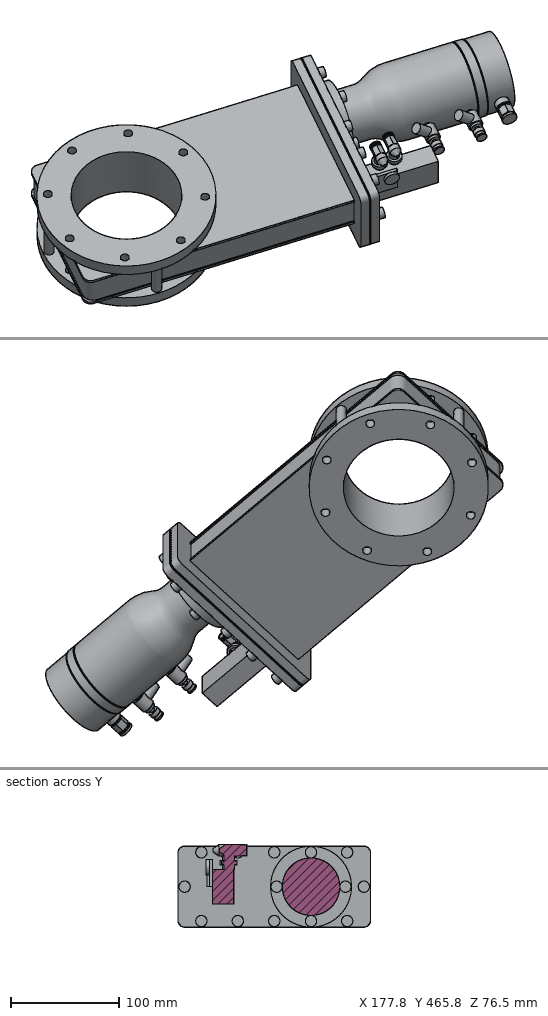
import cadquery as cq
import math


flange_dia = 165.1
flange_top_z = 30.2
flange_thickness = 12.7
bore_dia = 102.0
bolt_circle_dia = 145.0
bolt_hole_dia = 8.0
bolt_hole_count = 8
tie_rod_dia = 9.5
tie_rod_radius = 76.6
tie_rod_angles = (180, 270, 0)

housing_width = 144.4
housing_end_y = -68.4
housing_height = 2 * (flange_top_z - flange_thickness)
sheet_thickness = 2.8
sheet_overhang = 1.2
sheet_corner_radius = 8.0
core_corner_radius = 10.0

bonnet_width = 177.8
bonnet_height = 75.0
bonnet_start_y = 197.3
bonnet_end_y = 215.8
gasket_thickness = 1.2
gasket_inset = 0.8
bonnet_corner_radius = 6.35
bonnet_plate_thickness = (bonnet_end_y - bonnet_start_y - gasket_thickness) / 2

screw_head_dia = 10.4
screw_head_height = 6.1
screw_row_z = 31.7
screw_row_x = (-67.2, 0, 33.6, 67.2)
end_screw_x = 82.6

actuator_x = -33.9
actuator_end_y = 383.24
cap_start_y = 357.2
cap_radius = 36.6
barrel_radius = 37.2
barrel_start_y = 279.0
groove_ys = (cap_start_y - 0.5, 347.0)
groove_width = 1.0
groove_depth = 0.8
neck_radius = 26.5
neck_end_y = 245.6
shoulder_y = 256.9
foot_radius = 37.3
foot_end_y = 224.0
foot_screw_radius = 31.7
foot_screw_height = 5.3

air_fitting_ys = (338.2, 296.2)
elbow_centre_x = 12.5
elbow_body_radius = 6.8
elbow_inlet_radius = 4.5
elbow_leg_radius = 5.2
elbow_leg_reach = 20.5
elbow_leg_tilt = 45
nozzle_steps = ((22.0, 5.5), (25.6, 2.2), (30.0, 5.2), (33.0, 4.6), (34.5, 5.0))

cable_connector_y = 370.1
cable_radius = 7.2
cable_waist_radius = 5.8
cable_collar_end_x = 8.2
cable_nut_start_x = 10.0
cable_nut_end_x = 19.5
cable_ring_start_x = 21.0
cable_end_x = 23.3

block_start_x = 37.2
block_end_x = 57.0
block_half_height = 16.0
block_end_y = 286.4
port_axis_z = 33.5
port_radius = 5.45
port_cap_length = 4.0
port_cap_rib_count = 2
port_cap_groove_radius = 5.0
port_nut_length = 10.5
port_sleeve_length = 5.5
port_nose_length = 5.5
port_nose_radius = 1.5
port_collar_radius = 7.3
port_collar_z = 20.0
port_collar_height = 4.0
port_post_radius = 5.0
port_places = ((25.2, 248.7, 41.5), (30.9, 233.8, 42.5))

bracket_end_x = 59.8
bracket_end_y = 245.0
bracket_top_z = 25.0
bracket_foot_x = 62.0
bracket_foot_height = 1.5
knob_end_x = 62.7
knob_radius = 7.2
knob_stem_radius = 3.0
knob_y = 238.6
knob_z = 18.0


def box(x0, x1, y0, y1, z0, z1):
    return cq.Workplane("XY").box(x1 - x0, y1 - y0, z1 - z0, centered=False).translate((x0, y0, z0))


def rod(start, direction, length, radius):
    return cq.Workplane(cq.Solid.makeCylinder(radius, length, cq.Vector(*start), cq.Vector(*direction)))


def stepped_rod(start_x, y, z, steps):
    """Coaxial cylinders along X; each step is (end_x, radius)."""
    body = None
    for end_x, radius in steps:
        piece = rod((start_x, y, z), (1, 0, 0), end_x - start_x, radius)
        body = piece if body is None else body.union(piece)
        start_x = end_x
    return body


def hex_rod(start_x, y, z, length, corner_radius):
    """Hexagonal bar along X with one corner pointing to +Z."""
    profile = cq.Workplane("YZ").polygon(6, 2 * corner_radius).extrude(length)
    return profile.rotate((0, 0, 0), (1, 0, 0), 90).translate((start_x, y, z))


def polar(radius, angle):
    return radius * math.cos(math.radians(angle)), radius * math.sin(math.radians(angle))


def make_housing():
    half = housing_width / 2
    half_height = housing_height / 2
    core_half = half - sheet_overhang
    core_half_height = half_height - sheet_thickness
    core_end_y = housing_end_y + sheet_overhang
    core = box(-core_half, core_half, core_end_y, bonnet_start_y, -core_half_height, core_half_height)
    housing = core.edges("|Z and <Y").fillet(core_corner_radius)
    for z in (-half_height, core_half_height):
        sheet = box(-half, half, housing_end_y, bonnet_start_y, z, z + sheet_thickness)
        housing = housing.union(sheet.edges("|Z and <Y").fillet(sheet_corner_radius))
    return housing


def make_flanges():
    flanges = cq.Workplane("XY")
    for z in (-flange_top_z, flange_top_z - flange_thickness):
        flanges = flanges.union(rod((0, 0, z), (0, 0, 1), flange_thickness, flange_dia / 2))
    for angle in tie_rod_angles:
        x, y = polar(tie_rod_radius, angle)
        flanges = flanges.union(rod((x, y, -flange_top_z), (0, 0, 1), 2 * flange_top_z, tie_rod_dia / 2))
    return flanges


def make_flange_holes():
    pitch = 360 / bolt_hole_count
    holes = cq.Workplane("XY")
    for z in (-flange_top_z, flange_top_z - flange_thickness):
        for i in range(bolt_hole_count):
            x, y = polar(bolt_circle_dia / 2, (i + 0.5) * pitch)
            holes = holes.union(rod((x, y, z), (0, 0, 1), flange_thickness, bolt_hole_dia / 2))
    return holes


def bonnet_layer(y0, thickness, inset):
    half_width = bonnet_width / 2 - inset
    half_height = bonnet_height / 2 - inset
    layer = box(-half_width, half_width, y0, y0 + thickness, -half_height, half_height)
    return layer.edges("|Y").fillet(bonnet_corner_radius - inset)


def make_bonnet():
    gasket_y = bonnet_start_y + bonnet_plate_thickness
    bonnet = bonnet_layer(bonnet_start_y, bonnet_plate_thickness, 0)
    bonnet = bonnet.union(bonnet_layer(gasket_y, gasket_thickness, gasket_inset))
    bonnet = bonnet.union(bonnet_layer(gasket_y + gasket_thickness, bonnet_plate_thickness, 0))
    places = [(x, z) for x in screw_row_x for z in (-screw_row_z, screw_row_z)]
    places += [(-end_screw_x, 0), (end_screw_x, 0)]
    for x, z in places:
        bonnet = bonnet.union(rod((x, bonnet_end_y, z), (0, 1, 0), screw_head_height, screw_head_dia / 2))
    return bonnet


def make_actuator():
    blend_share = (shoulder_y - neck_end_y) / (barrel_start_y - neck_end_y)
    shoulder_radius = neck_radius + blend_share * (barrel_radius - neck_radius)
    profile = (
        cq.Workplane("XY")
        .moveTo(0, bonnet_end_y)
        .lineTo(foot_radius, bonnet_end_y)
        .lineTo(foot_radius, foot_end_y)
        .lineTo(neck_radius, foot_end_y)
        .lineTo(neck_radius, neck_end_y)
        .tangentArcPoint((shoulder_radius, shoulder_y), relative=False)
        .tangentArcPoint((barrel_radius, barrel_start_y), relative=False)
        .lineTo(barrel_radius, cap_start_y)
        .lineTo(cap_radius, cap_start_y)
        .lineTo(cap_radius, actuator_end_y)
        .lineTo(0, actuator_end_y)
        .close()
    )
    body = profile.revolve(360, (0, 0, 0), (0, 1, 0))
    for y in groove_ys:
        start = (0, y - groove_width / 2, 0)
        groove_floor = rod(start, (0, 1, 0), groove_width, barrel_radius - groove_depth)
        body = body.cut(rod(start, (0, 1, 0), groove_width, barrel_radius).cut(groove_floor))
    for angle in range(0, 360, 90):
        x, z = polar(foot_screw_radius, angle)
        body = body.union(rod((x, foot_end_y, z), (0, 1, 0), foot_screw_height, screw_head_dia / 2))
    return body.translate((actuator_x, 0, 0))


def make_air_fitting(y):
    body_start = elbow_centre_x - elbow_body_radius
    body_end = elbow_centre_x + elbow_body_radius
    elbow_steps = ((body_start, elbow_inlet_radius), (body_end, elbow_body_radius))
    fitting = stepped_rod(actuator_x, y, 0, elbow_steps + nozzle_steps)
    tilt = math.radians(elbow_leg_tilt)
    direction = (0, -math.cos(tilt), math.sin(tilt))
    return fitting.union(rod((elbow_centre_x, y, 0), direction, elbow_leg_reach, elbow_leg_radius))


def make_cable_connector():
    steps = (
        (cable_collar_end_x, cable_radius),
        (cable_ring_start_x, cable_waist_radius),
        (cable_end_x, cable_radius),
    )
    connector = stepped_rod(actuator_x, cable_connector_y, 0, steps)
    nut_length = cable_nut_end_x - cable_nut_start_x
    return connector.union(hex_rod(cable_nut_start_x, cable_connector_y, 0, nut_length, cable_radius))


def port_cap_steps(start_x):
    """Alternating ribs and grooves along the port cap."""
    rib_length = port_cap_length / (2 * port_cap_rib_count)
    steps = []
    for i in range(port_cap_rib_count):
        rib_end_x = start_x + (2 * i + 1) * rib_length
        steps += [(rib_end_x, port_radius), (rib_end_x + rib_length, port_cap_groove_radius)]
    return steps


def make_port(start_x, y, post_x):
    nut_start_x = start_x + port_cap_length
    nut_end_x = nut_start_x + port_nut_length
    nose_x = nut_end_x + port_sleeve_length
    port = stepped_rod(start_x, y, port_axis_z, port_cap_steps(start_x))
    port = port.union(hex_rod(nut_start_x, y, port_axis_z, port_nut_length, port_radius))
    port = port.union(rod((nut_end_x, y, port_axis_z), (1, 0, 0), port_sleeve_length, port_radius))
    nose = cq.Solid.makeCone(
        port_radius, port_nose_radius, port_nose_length, cq.Vector(nose_x, y, port_axis_z), cq.Vector(1, 0, 0)
    )
    port = port.union(cq.Workplane(nose))
    post_height = port_axis_z - block_half_height
    port = port.union(rod((post_x, y, block_half_height), (0, 0, 1), post_height, port_post_radius))
    return port.union(rod((post_x, y, port_collar_z), (0, 0, 1), port_collar_height, port_collar_radius))


def make_valve_block():
    block = box(block_start_x, block_end_x, bonnet_end_y, block_end_y, -block_half_height, block_half_height)
    for start_x, y, post_x in port_places:
        block = block.union(make_port(start_x, y, post_x))
    block = block.union(box(block_end_x, bracket_end_x, bonnet_end_y, bracket_end_y, 0, bracket_top_z))
    foot_end_y = bonnet_end_y + bracket_foot_height
    block = block.union(box(bracket_end_x, bracket_foot_x, bonnet_end_y, foot_end_y, 0, bracket_top_z))
    knob_steps = ((bracket_end_x, knob_stem_radius), (knob_end_x, knob_radius))
    knob = stepped_rod(block_end_x, knob_y, knob_z, knob_steps)
    return block.union(knob)


result = make_housing().union(make_flanges()).cut(make_flange_holes())
result = result.cut(rod((0, 0, -flange_top_z), (0, 0, 1), 2 * flange_top_z, bore_dia / 2))
result = result.union(make_bonnet()).union(make_actuator())
result = result.union(make_cable_connector()).union(make_valve_block())
for fitting_y in air_fitting_ys:
    result = result.union(make_air_fitting(fitting_y))